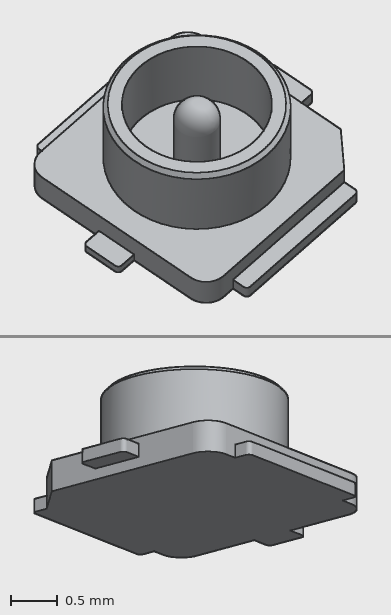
import cadquery as cq

base_side = 2.6
base_height = 0.35
base_corner_radius = 0.25
base_corner_chamfer = 0.4

total_height = 1.23
cup_diameter = 2.0
cup_bore = 1.6
cup_rim_chamfer = 0.05
pin_diameter = 0.5

overall_x = 3.0
overall_y = 3.1
tab_corner_radius = 0.05
side_tab_length = 1.8
side_tab_thickness = 0.15
front_tab_width = 0.5
front_tab_thickness = 0.1
rear_tab_width = 0.6
rear_tab_thickness = 0.15
rear_tab_bottom = 0.125


def make_base():
    """Plate with three rounded corners and a chamfered +X +Y corner."""
    plate = cq.Workplane("XY").rect(base_side, base_side).extrude(base_height)
    plate = plate.edges("|Z and (<X or <Y)").fillet(base_corner_radius)
    return plate.edges("|Z and >(1,1,0)").chamfer(base_corner_chamfer)


def make_cup():
    """Open tube with a chamfered outer rim, standing on the base."""
    tube_height = total_height - base_height
    outer = cq.Workplane("XY").workplane(offset=base_height).circle(cup_diameter / 2).extrude(tube_height)
    outer = outer.faces(">Z").edges().chamfer(cup_rim_chamfer)
    return outer.faces(">Z").workplane().circle(cup_bore / 2).cutBlind(-tube_height)


def make_pin():
    """Centre pin with a hemispherical tip, rooted in the base."""
    radius = pin_diameter / 2
    shank_height = total_height - radius
    shank = cq.Workplane("XY").circle(radius).extrude(shank_height)
    tip = cq.Workplane("XY").sphere(radius).translate((0, 0, shank_height))
    return shank.union(tip)


def make_tab(size_x, size_y, thickness, outer_edges, bottom=0):
    """Flat tab from the part centre outwards, rounded at its outer corners."""
    tab = cq.Workplane("XY").box(size_x, size_y, thickness, centered=(True, True, False))
    return tab.edges(outer_edges).fillet(tab_corner_radius).translate((0, 0, bottom))


def make_end_tab(width, thickness, direction, bottom=0):
    """Tab reaching from the centre to the -Y or +Y end of the part."""
    length = overall_y / 2
    outer_edges = "|Z and >Y" if direction > 0 else "|Z and <Y"
    tab = make_tab(width, length, thickness, outer_edges, bottom)
    return tab.translate((0, direction * length / 2, 0))


side_tabs = make_tab(overall_x, side_tab_length, side_tab_thickness, "|Z")
front_tab = make_end_tab(front_tab_width, front_tab_thickness, -1)
rear_tab = make_end_tab(rear_tab_width, rear_tab_thickness, 1, rear_tab_bottom)

result = make_base().union(make_cup()).union(make_pin())
result = result.union(side_tabs).union(front_tab).union(rear_tab)